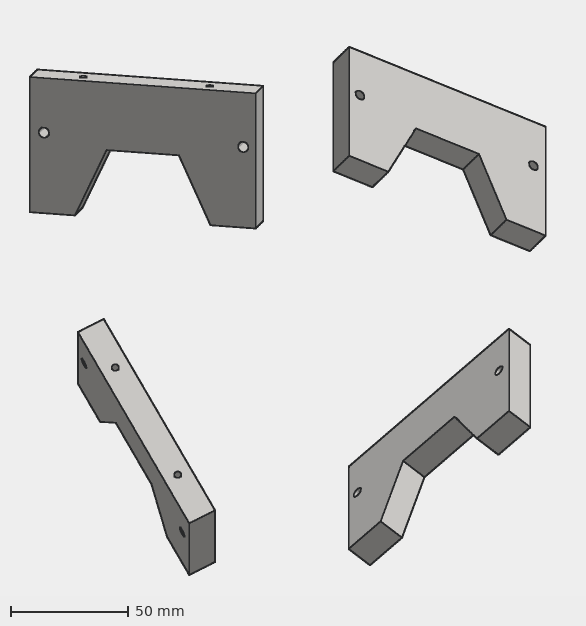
import cadquery as cq

length = 100.0
thickness = 12.6
height = 60.0

opening_height = height / 2
opening_bottom_width = 60.0
opening_top_width = 32.0

cross_hole_diameter = 4.5
cross_hole_spacing = 88.2
cross_hole_shift = 0.4
cross_hole_z = 35.8

top_hole_diameter = 3.0
top_hole_spacing = 56.0
top_hole_depth = 15.0

plate = cq.Workplane("XY").box(length, thickness, height, centered=(True, True, False))

opening = (
    cq.Workplane("XZ")
    .moveTo(-opening_bottom_width / 2, 0)
    .lineTo(-opening_top_width / 2, opening_height)
    .lineTo(opening_top_width / 2, opening_height)
    .lineTo(opening_bottom_width / 2, 0)
    .close()
    .extrude(thickness / 2, both=True)
)

cross_holes = (
    cq.Workplane("XZ")
    .pushPoints([(cross_hole_shift + side * cross_hole_spacing / 2, cross_hole_z) for side in (-1, 1)])
    .circle(cross_hole_diameter / 2)
    .extrude(thickness / 2, both=True)
)

top_holes = (
    cq.Workplane("XY")
    .workplane(offset=height)
    .pushPoints([(side * top_hole_spacing / 2, 0) for side in (-1, 1)])
    .circle(top_hole_diameter / 2)
    .extrude(-top_hole_depth)
)

result = plate.cut(opening).cut(cross_holes).cut(top_holes)